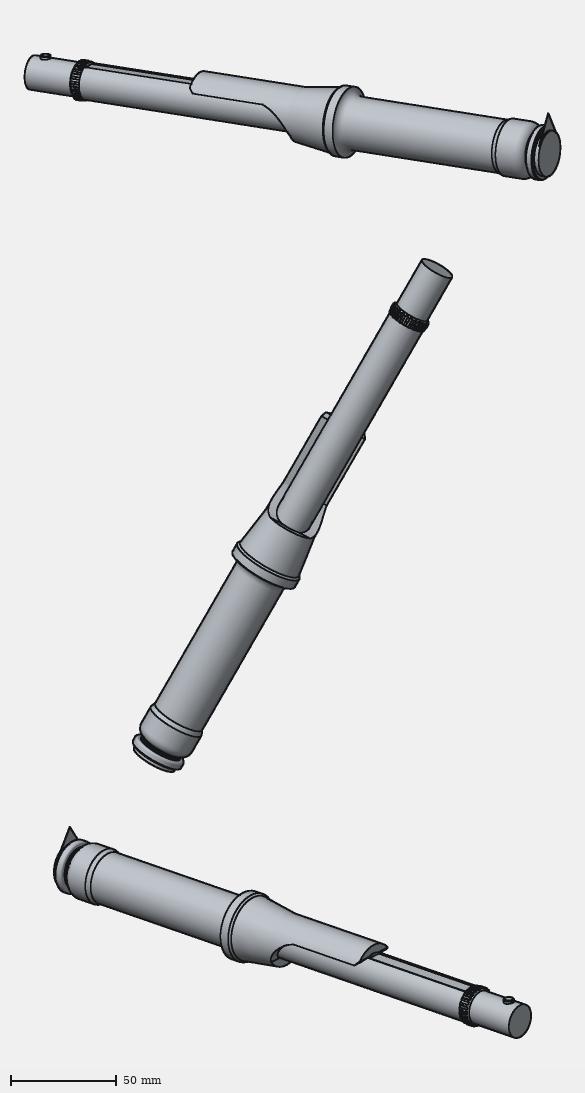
import cadquery as cq
import math


tip_radius = 8.3
shaft_radius = 9.05
shaft_end = 166.0
ring_start = 24.5
ring_end = 29.8
ridge_start = 25.5
ridge_end = 27.8
ridge_radius = 9.7
ring_radius = 9.5
tooth_count = 24
tooth_groove_width = 1.25

groove_floor = 7.5
groove_half_width_floor = 3.5
groove_half_width_top = 4.7

button_x = 7.0
button_radius = 2.5
button_top = 9.7
button_chamfer = 0.42

cover_start = 90.2
cover_radius = 13.4
cover_floor = 6.0
cover_chamfer = 2.2
scoop_start = 130.0
cone_start = 144.5
scoop_end_height = -7.8
scoop_mid = (138.3, 1.7)
cone_end = 164.8
cone_end_radius = 16.1
collar_start = 166.0
collar_end = 170.5
collar_radius = 17.12
grip_start = 174.5
grip_end = 254.0
grip_radius = 12.95
cap_start = 256.5
cap_round_start = 265.8
cap_end = 270.5
cap_radius = 14.0
neck_radius = 10.0
neck_step_start = 271.5
neck_step_radius = 10.5
flange_start = 272.2
flange_end = 276.0
flange_radius = 13.22
flange_round = 1.0
flange_chamfer = 0.5
end_disk_radius = 11.0
overall_length = 278.3

pointer_start = 277.5
pointer_thickness = 0.3
pointer_height = 19.9


def axial_cylinder(radius, start, end):
    return cq.Workplane("YZ").workplane(offset=start).circle(radius).extrude(end - start)


def revolve_about_x(profile):
    return profile.close().revolve(360, (0, 0, 0), (1, 0, 0))


def make_knurled_ring():
    ring = revolve_about_x(
        cq.Workplane("XZ")
        .moveTo(ring_start, 0)
        .lineTo(ring_start, tip_radius)
        .lineTo(ridge_start, ring_radius)
        .lineTo(ridge_start, ridge_radius)
        .lineTo(ridge_end, ridge_radius)
        .lineTo(ridge_end, ring_radius)
        .lineTo(ring_end, ring_radius)
        .lineTo(ring_end, 0)
    )
    groove_depth = ridge_radius - shaft_radius
    grooves = (
        cq.Workplane("YZ")
        .workplane(offset=ring_start)
        .polarArray(shaft_radius + groove_depth, 0, 360, tooth_count)
        .rect(2 * groove_depth, tooth_groove_width)
        .extrude(ring_end - ring_start)
    )
    return ring.cut(grooves)


def make_button():
    button = cq.Workplane("XY").center(button_x, 0).circle(button_radius).extrude(button_top)
    return button.faces(">Z").chamfer(button_chamfer)


def make_shaft_groove():
    slope = (groove_half_width_top - groove_half_width_floor) / (shaft_radius - groove_floor)
    cut_top = shaft_radius + 2.8
    cut_half_width = groove_half_width_floor + slope * (cut_top - groove_floor)
    return (
        cq.Workplane("YZ")
        .workplane(offset=ring_end)
        .polyline([
            (-groove_half_width_floor, groove_floor),
            (groove_half_width_floor, groove_floor),
            (cut_half_width, cut_top),
            (-cut_half_width, cut_top),
        ])
        .close()
        .extrude(cover_start - ring_end)
    )


def make_shaft():
    shaft = axial_cylinder(tip_radius, 0, ring_end)
    shaft = shaft.union(axial_cylinder(shaft_radius, ring_end, shaft_end))
    shaft = shaft.cut(make_shaft_groove())
    return shaft.union(make_knurled_ring()).union(make_button())


def make_cover():
    """Part-round cover over the shaft, swept down to the cone by a curved scoop."""
    side_outline = (
        cq.Workplane("XZ")
        .moveTo(cover_start, cover_radius)
        .lineTo(cover_start, cover_floor + cover_chamfer)
        .lineTo(cover_start + cover_chamfer, cover_floor)
        .lineTo(scoop_start, cover_floor)
        .threePointArc(scoop_mid, (cone_start, scoop_end_height))
        .lineTo(cone_start, cover_radius)
        .close()
        .extrude(cover_radius, both=True)
    )
    return axial_cylinder(cover_radius, cover_start, cone_start).intersect(side_outline)


def make_grip():
    """Cone, collar, grip, rounded cap and grooved end, turned in one piece."""
    cap_round_drop = cap_end - cap_round_start
    half = math.sqrt(0.5)
    collar_drop = collar_radius - grip_radius
    return revolve_about_x(
        cq.Workplane("XZ")
        .moveTo(cone_start, 0)
        .lineTo(cone_start, cover_radius)
        .lineTo(cone_end, cone_end_radius)
        .lineTo(collar_start, collar_radius)
        .lineTo(collar_end, collar_radius)
        .threePointArc(
            (grip_start - (grip_start - collar_end) * half, collar_radius - collar_drop * half),
            (grip_start, grip_radius),
        )
        .lineTo(grip_end, grip_radius)
        .lineTo(cap_start, cap_radius)
        .lineTo(cap_round_start, cap_radius)
        .threePointArc(
            (cap_round_start + cap_round_drop * half, cap_radius - cap_round_drop * (1 - half)),
            (cap_end, cap_radius - cap_round_drop),
        )
        .lineTo(cap_end, neck_radius)
        .lineTo(neck_step_start, neck_radius)
        .lineTo(neck_step_start, neck_step_radius)
        .lineTo(flange_start, neck_step_radius)
        .lineTo(flange_start, flange_radius - flange_round)
        .threePointArc(
            (flange_start + flange_round * (1 - half), flange_radius - flange_round * (1 - half)),
            (flange_start + flange_round, flange_radius),
        )
        .lineTo(flange_end - flange_chamfer, flange_radius)
        .lineTo(flange_end, flange_radius - flange_chamfer)
        .lineTo(flange_end, end_disk_radius)
        .lineTo(overall_length, end_disk_radius)
        .lineTo(overall_length, 0)
    )


def make_pointer():
    """Thin plate whose two straight edges leave the end disk tangentially."""
    tangent_angle = math.acos(end_disk_radius / pointer_height)
    tangent_y = end_disk_radius * math.sin(tangent_angle)
    tangent_z = end_disk_radius * math.cos(tangent_angle)
    return (
        cq.Workplane("YZ")
        .workplane(offset=pointer_start)
        .polyline([(0, 0), (tangent_y, tangent_z), (0, pointer_height), (-tangent_y, tangent_z)])
        .close()
        .extrude(pointer_thickness)
    )


def make_handle():
    handle = make_grip().union(make_cover()).union(make_pointer())
    return handle.cut(axial_cylinder(shaft_radius, cover_start, shaft_end))


shaft = make_shaft()
handle = make_handle()
result = cq.Compound.makeCompound([shaft.val(), handle.val()])